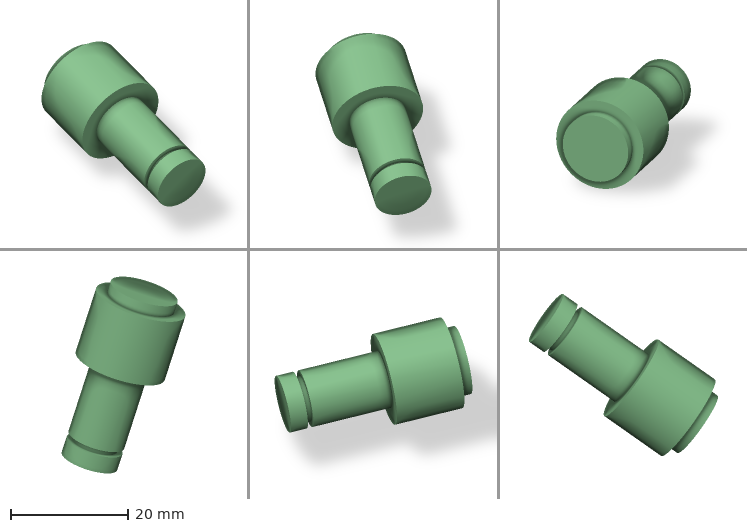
import cadquery as cq

spigot_diameter = 12.0
body_diameter = 16.0
shank_diameter = 10.0
groove_diameter = 8.0

total_length = 32.0
spigot_length = 2.0
body_length = 12.0
groove_width = 1.0
end_collar_length = 3.0

body_start = spigot_length
shank_start = body_start + body_length
groove_start = total_length - end_collar_length - groove_width


def cylinder_along_x(start, length, diameter):
    """Solid cylinder centred on the X axis, running from start in +X."""
    return cq.Workplane("YZ").workplane(offset=start).circle(diameter / 2).extrude(length)


def retaining_groove():
    """Ring of material removed from the shank to form the groove."""
    ring = cq.Workplane("YZ").workplane(offset=groove_start)
    return ring.circle(shank_diameter / 2).circle(groove_diameter / 2).extrude(groove_width)


spigot = cylinder_along_x(0, spigot_length, spigot_diameter)
body = cylinder_along_x(body_start, body_length, body_diameter)
shank = cylinder_along_x(shank_start, total_length - shank_start, shank_diameter)

result = spigot.union(body).union(shank).cut(retaining_groove())